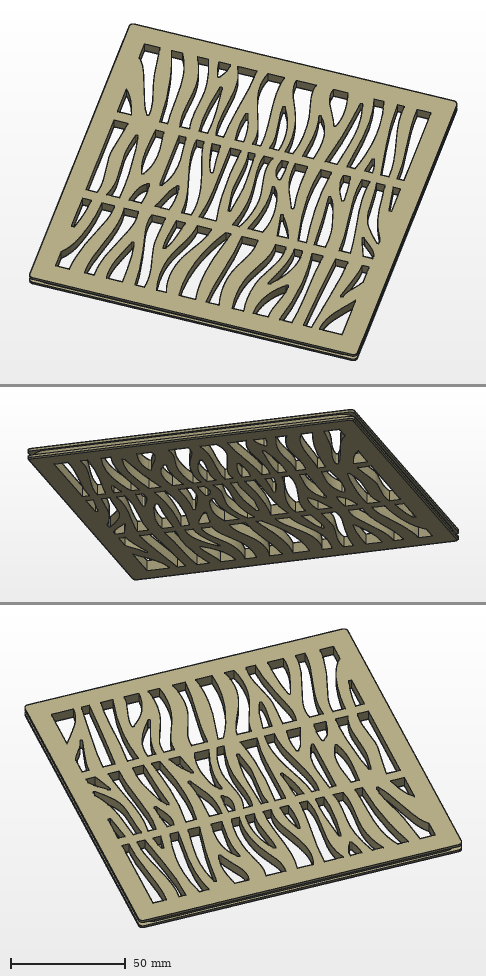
import cadquery as cq

side = 149.7
thickness = 4.8
corner_radius = 2.0

top_lip = 1.2
groove_height = 2.0
groove_depth = 1.2
groove_corner_radius = 6.3
bottom_chamfer = 0.6

frame = 9.5
bar = 5.1
middle_row_height = 41.0
wall = side / 2 - frame

top_high = wall
mid_high = middle_row_height / 2
mid_low = -mid_high
top_low = mid_high + bar
low_high = mid_low - bar
low_low = -wall

tip_radius = 0.6


def rounded_square(width, radius, height, z):
    block = cq.Workplane("XY", origin=(0, 0, z)).rect(width, width).extrude(height)
    return block.edges("|Z").fillet(radius)


def follow(path, points):
    """Continue a path along a smooth curve, or a straight line for two points."""
    if len(points) == 2:
        return path.lineTo(*points[1])
    return path.spline(points[1:], includeCurrent=True)


def stripe(left, right, tip_above=None, tip_below=None, corner_above=None, corner_below=None):
    """Opening between two edges, each listed from bottom to top.

    An end is flat unless a tip gives the extreme point of a rounded end.
    Edges that share an upper point meet in a sharp end.
    A corner adds one square corner, where the opening meets the frame.
    """
    left = list(left)
    right = list(right)
    if tip_above:
        x, y = tip_above
        left.append((x - tip_radius, y - tip_radius))
        right.append((x + tip_radius, y - tip_radius))
    if tip_below:
        x, y = tip_below
        left.insert(0, (x - tip_radius, y + tip_radius))
        right.insert(0, (x + tip_radius, y + tip_radius))

    path = follow(cq.Workplane("XY").moveTo(*left[0]), left)
    if corner_above:
        path = path.lineTo(*corner_above)
    if tip_above:
        path = path.threePointArc(tip_above, right[-1])
    elif left[-1] != right[-1]:
        path = path.lineTo(*right[-1])
    path = follow(path, right[::-1])
    if corner_below:
        path = path.lineTo(*corner_below)
    if tip_below:
        path = path.threePointArc(tip_below, left[0])
    return path.close().extrude(thickness)


top_row = [
    stripe(
        [(-wall, top_low), (-wall, 38.8)],
        [(-59.0, top_low), (-60.6, 30.7), (-62.3, 34.5), (-wall, 38.8)],
    ),
    stripe(
        [(-54.5, 31.3), (-57.2, 39.0), (-59.7, 46.4), (-62.9, 54.0), (-wall, 57.5)],
        [(-52.0, 32.6), (-55.3, 45.7), (-57.2, 56.1), (-58.4, top_high)],
        tip_below=(-52.3, 27.5),
        corner_above=(-wall, top_high),
    ),
    stripe(
        [(-46.1, top_low), (-46.9, 36.7), (-49.4, 52.4), (-53.0, top_high)],
        [(-42.5, top_low), (-43.1, 40.5), (-44.2, 54.2), (-46.0, 61.0), (-48.0, top_high)],
    ),
    stripe(
        [(-37.0, top_low), (-37.7, 36.0), (-37.1, 50.9), (-38.3, 57.8), (-41.3, top_high)],
        [(-32.5, top_low), (-33.1, 36.0), (-32.5, 47.9), (-33.4, 55.4), (-36.2, top_high)],
    ),
    stripe(
        [(-30.7, 61.0), (-31.5, top_high)],
        [(-26.8, 61.0), (-26.0, top_high)],
        tip_below=(-29.0, 57.2),
    ),
    stripe(
        [(-28.1, top_low), (-28.6, 34.0), (-27.5, 46.4)],
        [(-24.3, top_low), (-24.3, 37.5), (-25.0, 45.7)],
        tip_above=(-26.2, 52.1),
    ),
    stripe(
        [(-20.5, top_low), (-21.3, 37.5), (-20.2, 53.2), (-21.0, 59.9), (-22.9, top_high)],
        [(-16.9, top_low), (-16.0, 40.5), (-14.5, 54.7), (-14.0, top_high)],
    ),
    stripe(
        [(-11.7, top_low), (-12.3, 31.5)],
        [(-7.8, top_low), (-8.1, 31.1), (-9.1, 36.7)],
        tip_above=(-11.1, 41.3),
    ),
    stripe(
        [(-3.7, top_low), (-4.3, 36.0), (-6.9, 43.4), (-9.3, 50.9), (-9.0, top_high)],
        [(0.0, top_low), (0.0, 33.0), (-1.2, 44.2), (-2.2, 56.9), (-1.5, top_high)],
    ),
    stripe(
        [(4.0, top_low), (4.6, 32.2), (3.0, 44.2)],
        [(8.2, top_low), (8.7, 32.2), (8.0, 39.0), (6.0, 45.2)],
        tip_above=(3.3, 49.9),
    ),
    stripe(
        [(11.1, top_low), (11.1, 39.7), (8.8, 48.2), (5.0, 57.2), (3.9, top_high)],
        [(14.7, top_low), (16.0, 41.2), (14.8, 50.2), (12.9, 58.4), (13.0, top_high)],
    ),
    stripe(
        [(19.2, top_low), (20.2, 35.2), (20.0, 44.9)],
        [(24.1, top_low), (25.0, 33.7), (23.5, 43.9)],
        tip_above=(19.9, 49.5),
    ),
    stripe(
        [(25.8, 49.4), (21.5, 57.8), (20.5, 62.3), (21.0, top_high)],
        [(29.0, 50.6), (29.2, 55.4), (27.5, top_high)],
        tip_below=(27.5, 45.8),
    ),
    stripe(
        [(29.5, top_low), (31.7, 37.5), (33.1, 47.2), (34.0, 56.1)],
        [(34.9, top_low), (36.8, 39.0), (37.5, 47.9), (36.5, 56.9)],
        tip_above=(35.0, 61.5),
    ),
    stripe(
        [(39.4, top_low), (40.9, 40.5), (41.3, 50.9), (39.4, top_high)],
        [(43.1, top_low), (45.8, 39.0), (46.3, 50.2), (43.9, top_high)],
    ),
    stripe(
        [(47.5, top_low), (48.0, 29.6)],
        [(51.0, top_low), (50.6, 29.6)],
        tip_above=(49.3, 33.2),
    ),
    stripe(
        [(54.8, top_low), (52.7, 39.0), (50.8, 53.2), (50.2, top_high)],
        [(58.5, top_low), (57.6, 36.4), (54.7, 49.9), (53.3, top_high)],
    ),
    stripe(
        [(62.3, top_low), (61.1, 42.7), (59.5, 55.4), (59.1, top_high)],
        [(wall, top_low), (wall, top_high)],
    ),
]

middle_row = [
    stripe(
        [(-wall, mid_low), (-wall, mid_high)],
        [(-60.3, mid_low), (-60.3, -8.5), (-61.4, 0.9), (-60.3, 10.5), (-59.0, mid_high)],
    ),
    stripe(
        [(-56.0, mid_low), (-54.4, -9.7), (-55.3, 5.4), (-54.4, 12.0)],
        [(-50.2, mid_low), (-50.2, -7.5), (-51.2, 5.2), (-52.1, 12.0)],
        tip_above=(-53.3, 15.4),
    ),
    stripe(
        [(-46.1, -1.2), (-47.0, 10.5), (-46.4, mid_high)],
        [(-42.7, -1.2), (-41.3, 8.5), (-42.7, mid_high)],
        tip_below=(-44.6, -4.8),
    ),
    stripe(
        [(-45.8, mid_low), (-44.2, -14.0), (-42.5, -11.1)],
        [(-40.1, mid_low), (-39.5, -14.2)],
        tip_above=(-40.5, -9.1),
    ),
    stripe(
        [(-35.6, -1.5), (-35.6, mid_high)],
        [(-32.2, -3.0), (-31.1, 8.2), (-32.5, mid_high)],
        tip_below=(-35.0, -8.5),
    ),
    stripe(
        [(-34.0, mid_low), (-31.9, -14.8), (-29.5, -8.8)],
        [(-27.5, mid_low), (-26.7, -12.6)],
        tip_above=(-27.7, -6.6),
    ),
    stripe(
        [(-21.9, mid_low), (-22.2, -12.3), (-26.2, 4.8), (-27.7, mid_high)],
        [(-17.4, mid_low), (-17.4, -8.5), (-20.5, 4.8), (-23.4, 14.4), (-24.4, mid_high)],
    ),
    stripe(
        [(-18.0, 8.5), (-19.6, 14.4), (-20.7, mid_high)],
        [(-16.0, 10.3), (-16.8, mid_high)],
        tip_below=(-16.0, 4.8),
    ),
    stripe(
        [(-13.8, mid_low), (-12.5, -9.7), (-12.3, 4.5), (-12.3, mid_high)],
        [(-6.0, mid_low), (-7.6, -8.2), (-8.1, 7.5), (-7.3, mid_high)],
    ),
    stripe(
        [(-3.5, -9.7), (-4.3, -2.2), (-3.5, 14.4), (-4.0, mid_high)],
        [(-1.3, -9.7), (-0.3, -1.5), (-0.5, 10.5), (-0.9, mid_high)],
        tip_below=(-2.2, -13.6),
    ),
    stripe(
        [(1.5, mid_low), (3.6, -10.5), (4.0, -1.5), (2.8, 9.7), (3.0, mid_high)],
        [(4.6, mid_low), (7.8, -10.5), (8.4, -3.0), (6.1, 12.3), (7.2, mid_high)],
    ),
    stripe(
        [(11.0, 12.7), (10.5, 15.7), (11.2, mid_high)],
        [(14.2, 14.2), (14.2, mid_high)],
        tip_below=(13.3, 9.7),
    ),
    stripe(
        [(8.5, mid_low), (11.2, -10.5), (12.1, 0.0)],
        [(15.3, mid_low), (16.8, -8.5), (16.0, -2.8), (14.2, 3.0)],
        tip_above=(12.3, 5.4),
    ),
    stripe(
        [(21.1, 0.9), (18.1, 8.8), (17.2, 15.7), (17.4, mid_high)],
        [(23.4, 3.0), (22.9, 12.0), (23.0, mid_high)],
        tip_below=(23.7, -4.0),
    ),
    stripe(
        [(21.9, mid_low), (20.5, -12.9)],
        [(27.1, mid_low), (24.0, -13.5)],
        tip_above=(20.5, -8.5),
    ),
    stripe(
        [(31.3, mid_low), (29.2, -9.0), (28.0, 7.3), (29.0, mid_high)],
        [(35.2, mid_low), (33.7, -7.5), (33.1, 7.3), (34.0, mid_high)],
    ),
    stripe(
        [(38.8, mid_low), (38.2, -8.2), (37.3, 3.0)],
        [(43.9, mid_low), (43.5, -10.5), (41.3, -0.9), (39.0, 5.4)],
        tip_above=(37.5, 7.3),
    ),
    stripe(
        [(41.9, 8.7), (40.1, 12.7), (39.5, mid_high)],
        [(43.7, 10.2), (42.7, mid_high)],
        tip_below=(43.3, 6.6),
    ),
    stripe(
        [(50.2, mid_low), (49.5, -8.2), (47.8, 6.0), (47.8, mid_high)],
        [(55.3, mid_low), (53.5, -6.6), (51.4, 7.5), (51.5, mid_high)],
    ),
    stripe(
        [(64.7, -11.7), (60.3, -6.6), (57.0, -0.9), (55.5, 7.5), (54.5, mid_high)],
        [(wall, -9.3), (64.1, -6.6), (61.4, 0.0), (59.6, 9.7), (58.4, mid_high)],
        corner_below=(wall, -11.7),
    ),
    stripe(
        [(61.2, mid_low), (59.1, -15.3)],
        [(wall, -18.3), (62.9, -14.8), (60.2, -12.3)],
        tip_above=(58.2, -10.5),
        corner_below=(wall, mid_low),
    ),
    stripe(
        [(64.2, 7.3), (63.5, 12.3), (62.1, mid_high)],
        [(wall, 7.3), (wall, mid_high)],
    ),
]

low_row = [
    stripe(
        [(-wall, -42.0), (-wall, low_high)],
        [(-64.1, -42.0), (-62.3, -34.1), (-61.4, low_high)],
    ),
    stripe(
        [(-wall, -57.2), (-62.3, -52.7), (-59.0, -43.4), (-57.2, -33.8), (-56.6, low_high)],
        [(-59.1, low_low), (-58.4, -57.8), (-55.3, -45.2), (-51.7, -33.8), (-50.8, low_high)],
        corner_below=(-wall, low_low),
    ),
    stripe(
        [(-52.3, low_low), (-51.5, -56.9), (-47.8, -41.3), (-46.4, low_high)],
        [(-47.8, low_low), (-47.2, -57.5), (-41.8, -39.7), (-39.8, -32.2), (-40.0, low_high)],
    ),
    stripe(
        [(-42.2, low_low), (-41.8, -56.9), (-38.3, -45.5)],
        [(-34.9, low_low), (-35.2, -52.7), (-36.0, -45.7)],
        tip_above=(-37.0, -42.7),
    ),
    stripe(
        [(-29.2, low_low), (-30.1, -54.7), (-33.0, -39.4), (-34.3, -31.5), (-33.8, low_high)],
        [(-24.9, low_low), (-25.6, -52.7), (-28.0, -40.5), (-27.7, -31.5), (-27.5, low_high)],
    ),
    stripe(
        [(-23.8, -37.5), (-23.2, -31.5), (-22.6, low_high)],
        [(-21.3, -39.0), (-19.9, -33.8), (-18.4, low_high)],
        tip_below=(-23.0, -42.0),
    ),
    stripe(
        [(-19.3, low_low), (-20.5, -54.7), (-19.2, -45.2), (-14.8, -33.8), (-13.0, low_high)],
        [(-14.8, low_low), (-16.2, -54.7), (-14.2, -45.2), (-9.1, -34.5), (-6.5, low_high)],
    ),
    stripe(
        [(-9.1, low_low), (-9.1, -53.9), (-6.0, -39.2), (0.0, low_high)],
        [(-1.5, low_low), (-2.2, -54.7), (-0.7, -40.5), (2.4, low_high)],
    ),
    stripe(
        [(3.3, low_low), (4.0, -54.7), (6.3, -39.0), (7.3, low_high)],
        [(9.3, low_low), (8.0, -54.7), (9.1, -45.7), (12.9, -36.0), (14.7, low_high)],
    ),
    stripe(
        [(15.3, low_low), (14.7, -57.6), (16.8, -45.2), (21.0, -35.3), (22.6, low_high)],
        [(20.5, low_low), (19.9, -58.1), (22.0, -45.2), (26.2, -35.3), (27.5, low_high)],
    ),
    stripe(
        [(24.9, low_low), (27.4, -54.5), (32.2, -47.9)],
        [(31.7, low_low), (33.7, -54.8), (35.0, -47.8)],
        tip_above=(34.5, -45.8),
    ),
    stripe(
        [(27.3, -43.9), (30.2, -34.9), (31.3, low_high)],
        [(29.3, -44.5), (33.5, -37.0), (35.0, low_high)],
        tip_below=(26.7, -47.8),
    ),
    stripe(
        [(36.8, low_low), (39.4, -52.1), (40.3, -39.0), (39.4, low_high)],
        [(42.5, low_low), (43.4, -53.9), (43.7, -37.5), (44.5, low_high)],
    ),
    stripe(
        [(47.8, low_low), (48.8, -45.2), (50.2, low_high)],
        [(51.5, low_low), (53.0, -52.7), (55.3, -35.3), (55.8, low_high)],
    ),
    stripe(
        [(55.1, low_low), (57.5, -56.9), (62.3, -49.5), (wall, -45.2)],
        [(wall, low_low), (wall, -45.2)],
    ),
    stripe(
        [(59.1, -41.3), (61.1, -33.8), (62.3, low_high)],
        [(61.0, -41.3), (63.5, -37.6), (wall, -34.5)],
        tip_below=(59.0, -45.2),
        corner_above=(wall, low_high),
    ),
]

groove_floor = thickness - top_lip - groove_height
core_side = side - 2 * groove_depth
bottom_lip = rounded_square(side, corner_radius, groove_floor, 0).faces("<Z").chamfer(bottom_chamfer)
core = rounded_square(core_side, groove_corner_radius, groove_height, groove_floor)
upper_lip = rounded_square(side, corner_radius, top_lip, thickness - top_lip)
result = bottom_lip.union(core).union(upper_lip)

openings = [opening.val() for opening in top_row + middle_row + low_row]
result = result.cut(cq.Workplane(cq.Compound.makeCompound(openings)))